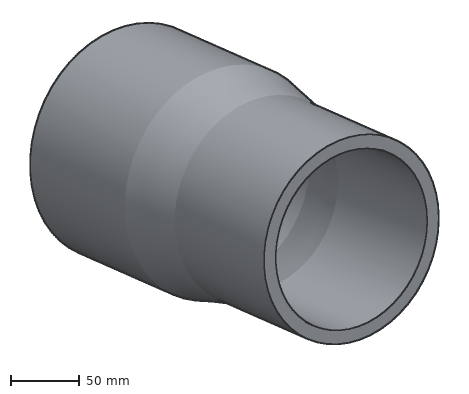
import cadquery as cq

total_length = 275.0
large_length = 117.0
taper_length = 48.0
large_outer_diameter = 180.0
large_bore_diameter = 158.7
small_outer_diameter = 160.0
small_bore_diameter = 138.5

taper_end = large_length + taper_length


def reducer_body(large_diameter, small_diameter):
    """Solid of revolution about X: large cylinder, cone, small cylinder."""
    large_radius = large_diameter / 2
    small_radius = small_diameter / 2
    return (
        cq.Workplane("XY")
        .moveTo(0, 0)
        .lineTo(0, large_radius)
        .lineTo(large_length, large_radius)
        .lineTo(taper_end, small_radius)
        .lineTo(total_length, small_radius)
        .lineTo(total_length, 0)
        .close()
        .revolve(360, (0, 0, 0), (1, 0, 0))
    )


outside = reducer_body(large_outer_diameter, small_outer_diameter)
bore = reducer_body(large_bore_diameter, small_bore_diameter)

result = outside.cut(bore)